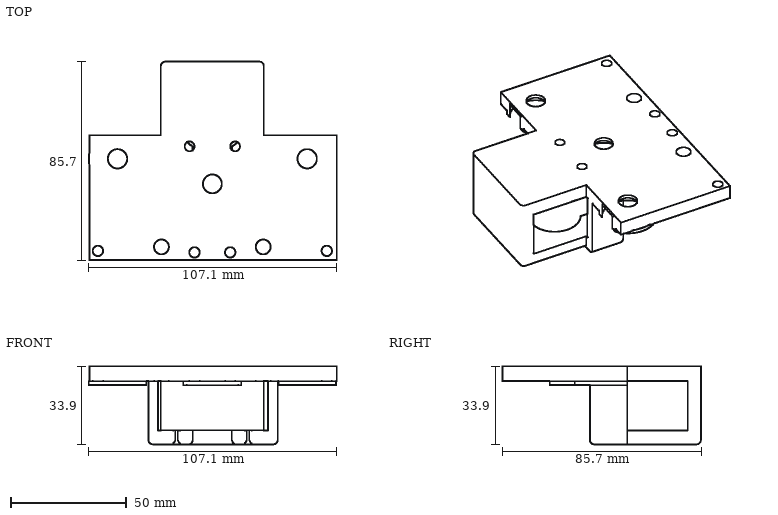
import cadquery as cq

total_height = 33.9
total_depth = 85.7

body_shift = 0.3
plate_width = 106.8
plate_depth = 53.9
plate_thickness = 6.5
plate_bottom = total_height - plate_thickness

box_front = 37.7
frame_width = 55.9
frame_wall = 4.3
channel_width = 44.6
floor_thickness = 6.1
back_wall = 5.8
edge_radius = 2.0

pad_diameter = 25.0
pad_height = 1.7
side_pad_x = 40.9
side_pad_y = 43.7
center_pad_y = 32.9
pad_bottom = plate_bottom - pad_height
pads = [(-side_pad_x, side_pad_y), (0, center_pad_y), (side_pad_x, side_pad_y)]

pad_bore_diameter = 22.3
lip_thickness = 1.5

side_hole_diameter = 8.2
center_hole_diameter = 8.0
rear_hole_diameter = 4.2
medium_hole_diameter = 6.3
small_hole_diameter = 4.4
rear_hole_x, rear_hole_y = 9.9, 49.1
medium_hole_x, medium_hole_y = 22.0, 5.7
inner_hole_x, inner_hole_y = 7.7, 3.3
corner_hole_x, corner_hole_y = 49.4, 4.0

slot_diameter = 22.3
slot_center_spacing = 6.1
slot_y = 58.8
neck_width = 16.9
neck_corner_radius = 3.7

edge_hole_diameter = 3.0
edge_hole_x = 15.4
edge_hole_y = box_front + 1.4


def block(x_center, width, y_front, y_rear, z_bottom, z_top):
    """Box given by its centre and width in X and its limits in Y and Z."""
    size = (width, y_rear - y_front, z_top - z_bottom)
    corner = (x_center - width / 2, y_front, z_bottom)
    return cq.Workplane("XY").box(*size, centered=False).translate(corner)


def cylinders(centers, diameter, z_bottom, height):
    """Upright cylinders on the given centres."""
    return cq.Workplane("XY", origin=(0, 0, z_bottom)).pushPoints(centers).circle(diameter / 2).extrude(height)


def mirrored(x, y):
    """A pair of points placed symmetrically about X = 0."""
    return [(-x, y), (x, y)]


def make_floor_opening():
    """Cross slot with a front neck whose mouth is rounded outward."""
    slot = (
        cq.Workplane("XY")
        .center(0, slot_y)
        .slot2D(slot_center_spacing + slot_diameter, slot_diameter)
        .extrude(floor_thickness)
    )
    neck = block(0, neck_width, box_front, slot_y, 0, floor_thickness)
    mouth_width = neck_width + 2 * neck_corner_radius
    arc_y = box_front + neck_corner_radius
    mouth = block(0, mouth_width, box_front, arc_y, 0, floor_thickness)
    corner_posts = cylinders(mirrored(mouth_width / 2, arc_y), 2 * neck_corner_radius, 0, floor_thickness)
    return slot.union(neck).union(mouth.cut(corner_posts))


def make_box():
    """Front frame and rear channel with the floor opening cut."""
    frame = block(body_shift, frame_width, box_front, plate_depth, 0, plate_bottom)
    opening_width = frame_width - 2 * frame_wall

    opening = make_floor_opening()
    edge_holes = cylinders(mirrored(edge_hole_x, edge_hole_y), edge_hole_diameter, 0, floor_thickness)

    frame = frame.edges("|Z and <Y").fillet(edge_radius)
    frame = frame.cut(opening)
    frame = frame.faces("<Z").edges("<X or >X or <Y").fillet(edge_radius)
    frame = frame.cut(block(body_shift, opening_width, box_front, plate_depth, floor_thickness, plate_bottom))

    channel = block(0, channel_width, plate_depth, total_depth, 0, total_height)
    channel = channel.edges("(|Z and >Y) or (<Z and (<X or >X or >Y))").fillet(edge_radius)
    channel_rear = total_depth - back_wall
    channel = channel.cut(block(0, channel_width, plate_depth, channel_rear, floor_thickness, plate_bottom))
    return frame.union(channel).cut(opening).cut(edge_holes)


def make_plate():
    """Top plate with its pads, which are trimmed flush with the plate's rear edge."""
    plate = block(body_shift, plate_width, 0, plate_depth, plate_bottom, total_height)
    pad_limit = block(0, 2 * plate_width, 0, plate_depth, pad_bottom, plate_bottom)
    return plate.union(cylinders(pads, pad_diameter, pad_bottom, pad_height).intersect(pad_limit))


plate_holes = [
    (side_hole_diameter, mirrored(side_pad_x, side_pad_y)),
    (center_hole_diameter, [(0, center_pad_y)]),
    (rear_hole_diameter, mirrored(rear_hole_x, rear_hole_y)),
    (medium_hole_diameter, mirrored(medium_hole_x, medium_hole_y)),
    (small_hole_diameter, mirrored(inner_hole_x, inner_hole_y)),
    (small_hole_diameter, mirrored(corner_hole_x, corner_hole_y)),
]

result = make_plate().union(make_box())
bore_height = plate_thickness - lip_thickness + pad_height
result = result.cut(cylinders(pads, pad_bore_diameter, pad_bottom, bore_height))
for diameter, centers in plate_holes:
    result = result.cut(cylinders(centers, diameter, plate_bottom, plate_thickness))